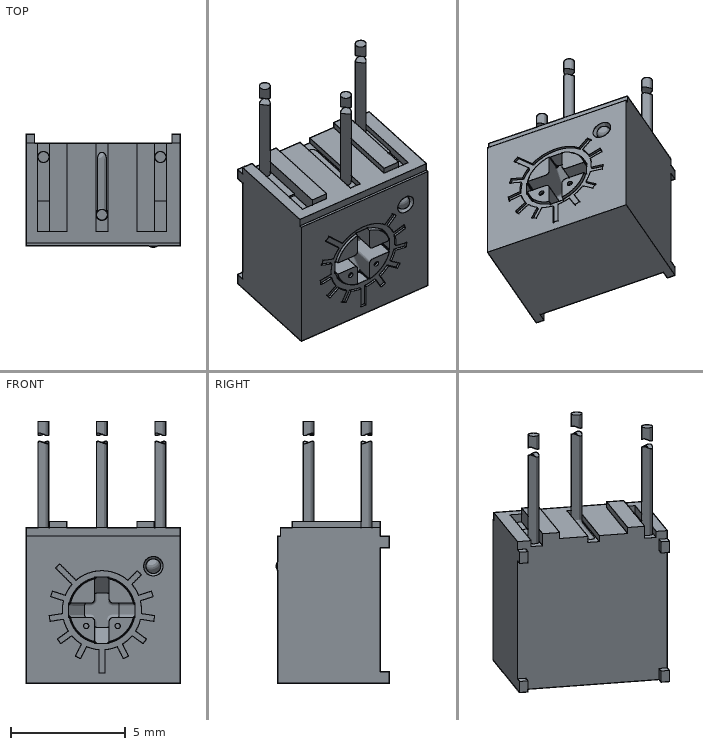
import cadquery as cq
import math


block_width = 6.71
block_depth = 4.47
block_height = 6.77
axis_offset = 0.06
block_centre_x = axis_offset
front_step_depth = 0.11
shoulder_z = 6.41

lug_width = 0.38
lug_height = 0.51
lug_length = 0.39

lead_radius = 0.24
lead_pitch = 2.54
lead_top = 11.4
rear_row_y = 3.86
front_row_y = rear_row_y - 2.52
bend_radius = 0.26
break_lower_z = 10.48
break_upper_z = 10.83
break_wave = 0.06

slot_width = 0.51
slot_depth = 0.27
slot_front_y = 0.63
slot_floor_z = block_height - slot_depth
side_slot_step_y = 1.96
side_slot_step_depth = 0.09
rib_width = 0.76
rib_height = 0.27
run_depth = 0.14
run_rear_y = 3.76
run_z = slot_floor_z - run_depth

rotor_z = 3.18
rotor_radius = 1.4
bore_radius = 1.45
gap_depth = 0.75
cross_width = 0.63
cross_floor_half = 0.75
cross_depth = gap_depth + bore_radius - cross_floor_half
cross_corner_radius = 0.18
cross_floor_fillet = 0.14
dot_radius = 0.11
dot_offset = 0.68
dot_depth = 0.11

dial_depth = 0.1
dial_radius = 1.72
tick_width = 0.25
tick_end_radius = 2.3
long_tick_end_radius = 2.72
tick_count = 11
tick_sweep = 270
first_tick_angle = 135
long_ticks = (0, tick_count // 2)

ball_x = 2.23
ball_z = 5.1
ball_radius = 0.32
ball_rise = 0.07
ball_depth = ball_radius - ball_rise
pit_radius = 0.42


def box(x_centre, width, y_front, y_rear, z_bottom, z_top):
    """Box centred on x_centre and bounded by the given Y and Z planes."""
    corner = cq.Vector(x_centre - width / 2, y_front, z_bottom)
    return cq.Workplane(cq.Solid.makeBox(width, y_rear - y_front, z_top - z_bottom, corner))


def front_disc(x, z, radius, depth):
    """Cylinder running from the front face into the block."""
    return cq.Workplane(cq.Solid.makeCylinder(radius, depth, cq.Vector(x, 0, z), cq.Vector(0, 1, 0)))


def block_with_lugs():
    block = box(block_centre_x, block_width, 0, block_depth, 0, block_height)
    block = block.cut(box(block_centre_x, block_width, 0, front_step_depth, shoulder_z, block_height))
    for side in (-1, 1):
        lug_x = block_centre_x + side * (block_width - lug_width) / 2
        for lug_bottom in (0, shoulder_z - lug_height):
            lug_top = lug_bottom + lug_height
            lug = box(lug_x, lug_width, block_depth, block_depth + lug_length, lug_bottom, lug_top)
            block = block.union(lug)
    return block


def add_ribs(block):
    """Raised rib along the inner side of each outer lead slot."""
    for side in (-1, 1):
        rib_x = side * (lead_pitch - (slot_width + rib_width) / 2)
        rib_top = block_height + rib_height
        block = block.union(box(rib_x, rib_width, slot_front_y, block_depth, block_height, rib_top))
    return block


def cut_lead_slots(block):
    """Three slots open to the rear; the floors of the outer two drop toward the front."""
    for slot_x in (-lead_pitch, 0, lead_pitch):
        block = block.cut(box(slot_x, slot_width, slot_front_y, block_depth, slot_floor_z, block_height))
    lower_floor_z = slot_floor_z - side_slot_step_depth
    for slot_x in (-lead_pitch, lead_pitch):
        block = block.cut(box(slot_x, slot_width, slot_front_y, side_slot_step_y,
                              lower_floor_z, slot_floor_z))
    return block


def dial_recess():
    dial = front_disc(0, rotor_z, dial_radius, dial_depth).cut(
        front_disc(0, rotor_z, rotor_radius, dial_depth))
    for index in range(tick_count):
        end_radius = long_tick_end_radius if index in long_ticks else tick_end_radius
        length = end_radius - bore_radius
        tick = box(bore_radius + length / 2, length, 0, dial_depth,
                   rotor_z - tick_width / 2, rotor_z + tick_width / 2)
        angle = first_tick_angle + index * tick_sweep / (tick_count - 1)
        dial = dial.union(tick.rotate((0, 0, rotor_z), (0, -1, rotor_z), angle))
    return dial


def cross_slot():
    """Cross recess with sloping ends, rounded inner corners and a filleted floor."""
    profile = [
        (-bore_radius, 0),
        (bore_radius, 0),
        (bore_radius, gap_depth),
        (cross_floor_half, cross_depth),
        (-cross_floor_half, cross_depth),
        (-bore_radius, gap_depth),
    ]
    arm = cq.Workplane("XY").polyline(profile).close().extrude(cross_width / 2, both=True)
    cross = arm.union(arm.rotate((0, 0, 0), (0, 1, 0), 90))

    half_width = cross_width / 2
    inner_corners = cross.edges("|Y").filter(
        lambda edge: max(abs(edge.Center().x), abs(edge.Center().z)) < half_width + 0.001)
    cross = inner_corners.fillet(cross_corner_radius)

    floor_sides = cross.edges().filter(
        lambda edge: edge.Center().y > gap_depth + 0.001
        and min(abs(edge.Center().x), abs(edge.Center().z)) > half_width / 2
        and edge.tangentAt(0.5).y ** 2 < 0.99)
    return floor_sides.fillet(cross_floor_fillet).translate((0, 0, rotor_z))


def cut_rotor(block):
    """Rotor face standing in its bore, with the cross slot and two index dots."""
    gap = front_disc(0, rotor_z, bore_radius, gap_depth).cut(
        front_disc(0, rotor_z, rotor_radius, gap_depth))
    block = block.cut(gap).cut(cross_slot())
    for side in (-1, 1):
        block = block.cut(front_disc(side * dot_offset, rotor_z - dot_offset, dot_radius, dot_depth))
    return block


def add_ball(block):
    pit = cq.Solid.makeCone(pit_radius, ball_radius, ball_depth,
                            cq.Vector(ball_x, 0, ball_z), cq.Vector(0, 1, 0))
    ball = cq.Workplane("XY").sphere(ball_radius).translate((ball_x, ball_depth, ball_z))
    return block.cut(cq.Workplane(pit)).union(ball)


def below_break(x, y, break_z):
    """Block of space around a lead, closed on top by the saddle-shaped broken face."""
    half = 1.2 * lead_radius
    corner_rise = 2 * break_wave * (half / lead_radius) ** 2
    left = cq.Edge.makeLine(cq.Vector(x - half, y - half, break_z + corner_rise),
                            cq.Vector(x - half, y + half, break_z - corner_rise))
    right = cq.Edge.makeLine(cq.Vector(x + half, y - half, break_z - corner_rise),
                             cq.Vector(x + half, y + half, break_z + corner_rise))
    saddle = cq.Face.makeRuledSurface(left, right)
    return cq.Workplane(cq.Solid.extrudeLinear(saddle, cq.Vector(0, 0, -lead_top)))


def lead_rod(x, y, bottom_z):
    rod = cq.Solid.makeCylinder(lead_radius, lead_top - bottom_z, cq.Vector(x, y, bottom_z))
    return cq.Workplane(rod)


def lead_tip(x, y):
    """Loose end of a lead above its break."""
    return lead_rod(x, y, shoulder_z).cut(below_break(x, y, break_upper_z))


def lead_stem(x, y, bottom_z):
    """Part of a lead between the housing and its break."""
    return lead_rod(x, y, bottom_z).intersect(below_break(x, y, break_lower_z))


def middle_lead_run():
    """Half-buried run in the middle slot, bent up at the front and down at the rear."""
    bend_side = bend_radius * math.sin(math.radians(45))
    bend_rest = bend_radius - bend_side
    path = (
        cq.Workplane("YZ")
        .moveTo(front_row_y, run_z + bend_radius)
        .threePointArc((front_row_y + bend_rest, run_z + bend_rest), (front_row_y + bend_radius, run_z))
        .lineTo(run_rear_y, run_z)
        .threePointArc((run_rear_y + bend_side, run_z - bend_rest),
                       (run_rear_y + bend_radius, run_z - bend_radius))
    )
    start = cq.Workplane("XY", origin=(0, front_row_y, run_z + bend_radius))
    return start.circle(lead_radius).sweep(path)


lead_places = [(-lead_pitch, rear_row_y), (0, front_row_y), (lead_pitch, rear_row_y)]

housing = cut_lead_slots(add_ribs(block_with_lugs()))
housing = add_ball(cut_rotor(housing.cut(dial_recess())))
housing = housing.union(middle_lead_run())
for lead_x, lead_y in lead_places:
    stem_bottom = run_z + bend_radius if lead_x == 0 else shoulder_z
    housing = housing.union(lead_stem(lead_x, lead_y, stem_bottom))

lead_tips = [lead_tip(lead_x, lead_y) for lead_x, lead_y in lead_places]

result = cq.Compound.makeCompound([housing.val(), *[tip.val() for tip in lead_tips]])